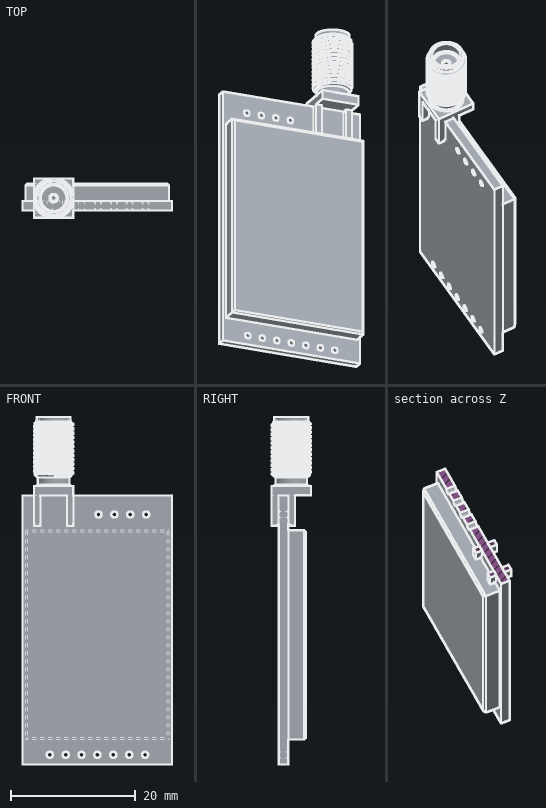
import cadquery as cq


BOARD_WIDTH = 24.0
BOARD_THICKNESS = 1.55
BOARD_HEIGHT = 43.1
HOLE_DIAMETER = 0.95
BOTTOM_HOLE_COUNT = 7
BOTTOM_ROW_LENGTH = 15.25
HOLE_PITCH = BOTTOM_ROW_LENGTH / (BOTTOM_HOLE_COUNT - 1)
BOTTOM_HOLE_X = 4.4
BOTTOM_HOLE_Z = 1.55
TOP_HOLE_COUNT = 4
TOP_HOLE_X = 12.2
TOP_HOLE_Z = 40.05

SHIELD_INSET = 0.5
SHIELD_BOTTOM_Z = 4.0
SHIELD_HEIGHT = 33.55
SHIELD_DEPTH = 2.8
SHIELD_CHAMFER = 0.35

FLANGE_SIZE = 6.35
FLANGE_THICKNESS = 1.5
FLANGE_LEFT_X = 1.85
FLANGE_FRONT_Y = -1.15
LEG_WIDTH = 1.05
LEG_LENGTH = 4.9
REAR_LEG_DEPTH = 1.05
LEG_CHAMFER = 0.35

TOTAL_HEIGHT = 55.7
NECK_RADIUS = 2.55
NECK_FLARE = 0.2
COLLAR_RADIUS = 2.75
COLLAR_HEIGHT = 0.7
THREAD_BOTTOM_Z = 46.0
THREAD_RADIUS = FLANGE_SIZE / 2
THREAD_ROOT_RADIUS = 2.8
PITCH_GAUGE_TURNS = 10
PITCH_GAUGE_LENGTH = 7.1
THREAD_PITCH = PITCH_GAUGE_LENGTH / PITCH_GAUGE_TURNS
RIDGE_START_Z = 45.3
RIDGE_LENGTH = 9.75
RIDGE_EMBEDDING = 0.03
RIDGE_BASE_RADIUS = THREAD_ROOT_RADIUS - RIDGE_EMBEDDING
RIDGE_BASE_WIDTH = 0.65
RIDGE_CREST_WIDTH = 0.15
BOTTOM_CHAMFER_SLOPE = 0.9
TOP_CHAMFER_SLOPE = 1.0
CUTTER_RADIUS = 3.9
SEAM_ANGLE = 33
BORE_RADIUS = 2.3
BORE_DEPTH = 1.85
RECESS_RADIUS = 2.05
RECESS_DEPTH = 0.3
CONTACT_MOUTH_RADIUS = 0.65
CONTACT_RADIUS = 0.5
CONTACT_DEPTH = 1.1

FLANGE_TOP_Z = BOARD_HEIGHT + FLANGE_THICKNESS
COLLAR_BOTTOM_Z = TOTAL_HEIGHT - COLLAR_HEIGHT
BARREL_X = FLANGE_LEFT_X + FLANGE_SIZE / 2
BARREL_Y = FLANGE_FRONT_Y + FLANGE_SIZE / 2


def corner_box(corner, size):
    """Box given by its lowest corner and its X, Y, Z size."""
    return cq.Workplane("XY").box(*size, centered=False).translate(corner)


def hole_row(first_x, z, count):
    """Row of round cutters through the board."""
    places = [(first_x + i * HOLE_PITCH, z) for i in range(count)]
    row = cq.Workplane("XZ").pushPoints(places).circle(HOLE_DIAMETER / 2)
    return row.extrude(-BOARD_THICKNESS)


def make_board():
    board = corner_box((0, 0, 0), (BOARD_WIDTH, BOARD_THICKNESS, BOARD_HEIGHT))
    board = board.cut(hole_row(BOTTOM_HOLE_X, BOTTOM_HOLE_Z, BOTTOM_HOLE_COUNT))
    board = board.cut(hole_row(TOP_HOLE_X, TOP_HOLE_Z, TOP_HOLE_COUNT))
    shield = corner_box(
        (SHIELD_INSET, BOARD_THICKNESS, SHIELD_BOTTOM_Z),
        (BOARD_WIDTH - 2 * SHIELD_INSET, SHIELD_DEPTH, SHIELD_HEIGHT),
    )
    shield = shield.faces(">Y").edges().chamfer(SHIELD_CHAMFER)
    return board.union(shield)


def make_leg(x, front_y, depth, board_side):
    """Leg below the flange, chamfered at the foot on the side that faces the board."""
    leg = corner_box((x, front_y, BOARD_HEIGHT - LEG_LENGTH), (LEG_WIDTH, depth, LEG_LENGTH))
    return leg.faces("<Z").edges(board_side).chamfer(LEG_CHAMFER)


def make_base():
    base = corner_box(
        (FLANGE_LEFT_X, FLANGE_FRONT_Y, BOARD_HEIGHT), (FLANGE_SIZE, FLANGE_SIZE, FLANGE_THICKNESS)
    )
    for leg_x in (FLANGE_LEFT_X, FLANGE_LEFT_X + FLANGE_SIZE - LEG_WIDTH):
        base = base.union(make_leg(leg_x, FLANGE_FRONT_Y, -FLANGE_FRONT_Y, ">Y"))
        base = base.union(make_leg(leg_x, BOARD_THICKNESS, REAR_LEG_DEPTH, "<Y"))
    return base


def revolved(outline):
    """Solid of revolution about Z from (radius, height) points."""
    return cq.Workplane("XZ").polyline(outline).close().revolve(360, (0, 0), (0, 1))


def make_thread_ridge():
    """Single-start right-hand ridge, rooted inside the core and running past both thread ends."""
    helix = cq.Wire.makeHelix(
        THREAD_PITCH, RIDGE_LENGTH, RIDGE_BASE_RADIUS, cq.Vector(0, 0, RIDGE_START_Z)
    )
    profile = cq.Workplane("XZ").polyline(
        [
            (RIDGE_BASE_RADIUS, RIDGE_START_Z - RIDGE_BASE_WIDTH / 2),
            (THREAD_RADIUS, RIDGE_START_Z - RIDGE_CREST_WIDTH / 2),
            (THREAD_RADIUS, RIDGE_START_Z + RIDGE_CREST_WIDTH / 2),
            (RIDGE_BASE_RADIUS, RIDGE_START_Z + RIDGE_BASE_WIDTH / 2),
        ]
    ).close()
    return profile.sweep(cq.Workplane(obj=helix), isFrenet=True)


def seam_moved(round_body):
    """Round body with its seam moved away from the start of the thread."""
    return round_body.rotate((0, 0, 0), (0, 0, 1), SEAM_ANGLE)


def make_neck_cutter():
    """Ring that turns down the neck, flared at the flange and chamfering the thread above."""
    top_z = THREAD_BOTTOM_Z + (CUTTER_RADIUS - NECK_RADIUS) * BOTTOM_CHAMFER_SLOPE
    return seam_moved(revolved([
        (NECK_RADIUS + NECK_FLARE, FLANGE_TOP_Z),
        (NECK_RADIUS, FLANGE_TOP_Z + NECK_FLARE),
        (NECK_RADIUS, THREAD_BOTTOM_Z),
        (CUTTER_RADIUS, top_z),
        (CUTTER_RADIUS, FLANGE_TOP_Z),
    ]))


def make_collar_cutter():
    """Ring that turns down the collar and chamfers the thread below."""
    bottom_z = COLLAR_BOTTOM_Z - (CUTTER_RADIUS - COLLAR_RADIUS) * TOP_CHAMFER_SLOPE
    return seam_moved(revolved([
        (COLLAR_RADIUS, TOTAL_HEIGHT),
        (COLLAR_RADIUS, COLLAR_BOTTOM_Z),
        (CUTTER_RADIUS, bottom_z),
        (CUTTER_RADIUS, TOTAL_HEIGHT),
    ]))


def make_barrel():
    core = cq.Workplane("XY").workplane(offset=FLANGE_TOP_Z).circle(THREAD_ROOT_RADIUS)
    core = seam_moved(core.extrude(TOTAL_HEIGHT - FLANGE_TOP_Z))
    barrel = core.union(make_thread_ridge())
    barrel = barrel.cut(make_neck_cutter()).cut(make_collar_cutter())
    return barrel.cut(make_bore())


def make_bore():
    """Stepped bore from the open end, with a cone-bottomed contact socket in its floor."""
    step_z = TOTAL_HEIGHT - BORE_DEPTH
    floor_z = step_z - RECESS_DEPTH
    countersink = CONTACT_MOUTH_RADIUS - CONTACT_RADIUS
    outline = [
        (0, TOTAL_HEIGHT),
        (BORE_RADIUS, TOTAL_HEIGHT),
        (BORE_RADIUS, step_z),
        (RECESS_RADIUS, step_z),
        (RECESS_RADIUS, floor_z),
        (CONTACT_MOUTH_RADIUS, floor_z),
        (CONTACT_RADIUS, floor_z - countersink),
        (CONTACT_RADIUS, floor_z - CONTACT_DEPTH),
        (0, floor_z - CONTACT_DEPTH - CONTACT_RADIUS),
    ]
    return revolved(outline)


def make_connector():
    return make_base().union(make_barrel().translate((BARREL_X, BARREL_Y, 0)))


board = make_board()
connector = make_connector()
result = cq.Compound.makeCompound([board.val(), connector.val()])